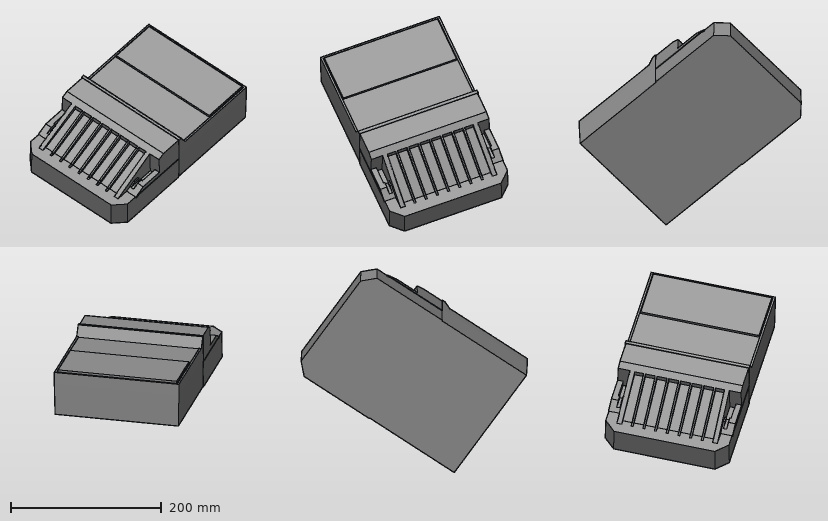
import cadquery as cq
import math

width = 170.0
length = 258.0
height = 74.0
back_y = length / 2
front_y = -length / 2
shell_draft = 1.1
ramp_draft = 1.5

joint_y = -8.3
parting_z = 43.9
rear_top_z = 60.6
hump_crest_y = -3.9
hump_foot_y = 3.9

rim_width = 2.8
recess_depth = 0.8
panel_gap = 1.0
panel_front_y = 57.5
panel_top_z = 63.2

shoulder_z = 73.3
shoulder_y = -39.2
ledge_z = 36.0
ramp_foot_y = -114.0
corner_chamfer = 15.7

pocket_back_y = -48.2
pocket_floor_z = parting_z
slope_top_y = -81.5
slope_foot_y = -96.5
lip_tip_y = -95.5
lip_tip_z = 33.3
ramp_half_width = 69.0

well_outer_x = 77.1
well_front_y = -73.5
well_floor_z = 35.3
groove_x = 73.0
groove_width = 4.5
groove_floor_z = 39.5
groove_front_y = slope_foot_y

trough_back_y = -48.5
trough_back_floor_z = 62.5
trough_foot_y = -107.8
trough_half_width = 62.2
rib_count = 7
rib_pitch = 16.0
rib_width = 2.5


def box(x0, x1, y0, y1, z0, z1):
    """Axis-aligned block between two opposite corners."""
    return cq.Workplane("XY").box(x1 - x0, y1 - y0, z1 - z0, centered=False).translate((x0, y0, z0))


def side_profile(points):
    """Prism across the full width from a (Y, Z) outline."""
    return cq.Workplane("YZ").polyline(points).close().extrude(width / 2, both=True)


def drafted_core(ledge_half_width):
    """Lengthwise prism whose leaning sides are ledge_half_width from the centre at ledge level."""
    lean = math.tan(math.radians(ramp_draft))
    bottom_half_width = ledge_half_width + (ledge_z - lip_tip_z) * lean
    top_half_width = ledge_half_width - (height - ledge_z) * lean
    outline = [
        (-bottom_half_width, lip_tip_z),
        (bottom_half_width, lip_tip_z),
        (top_half_width, height),
        (-top_half_width, height),
    ]
    return cq.Workplane("XZ").polyline(outline).close().extrude(length / 2, both=True)


def rear_housing():
    upper = side_profile([
        (joint_y, parting_z),
        (joint_y, height),
        (hump_crest_y, height),
        (hump_foot_y, rear_top_z),
        (back_y, rear_top_z),
        (back_y, parting_z),
    ])
    lower = (
        cq.Workplane("XY", origin=(0, 0, parting_z))
        .rect(width, length)
        .extrude(-parting_z, taper=shell_draft)
        .intersect(box(-width, width, joint_y, back_y, 0, parting_z))
    )
    recess_half_width = width / 2 - rim_width
    recess_floor_z = rear_top_z - recess_depth
    slope_run = (hump_foot_y - hump_crest_y) * recess_depth / (height - rear_top_z)
    recess = side_profile([
        (hump_foot_y, rear_top_z),
        (hump_foot_y + slope_run, recess_floor_z),
        (back_y - rim_width, recess_floor_z),
        (back_y - rim_width, rear_top_z),
    ]).intersect(box(-recess_half_width, recess_half_width, front_y, back_y, 0, height))
    panel_half_width = recess_half_width - panel_gap
    panel = box(-panel_half_width, panel_half_width, panel_front_y, back_y - rim_width - panel_gap,
                recess_floor_z, panel_top_z)
    return upper.union(lower).cut(recess).union(panel)


def front_base():
    block = (
        cq.Workplane("XY")
        .polyline([
            (-width / 2, 0),
            (-width / 2, front_y + corner_chamfer),
            (-width / 2 + corner_chamfer, front_y),
            (width / 2 - corner_chamfer, front_y),
            (width / 2, front_y + corner_chamfer),
            (width / 2, 0),
        ])
        .close()
        .extrude(ledge_z, taper=shell_draft)
    )
    return block.intersect(box(-width, width, front_y, joint_y, 0, ledge_z))


def front_ramp():
    slope_run_per_rise = (slope_top_y - slope_foot_y) / (pocket_floor_z - ledge_z)
    lip_start_y = lip_tip_y + (ledge_z - lip_tip_z) * slope_run_per_rise
    profile = side_profile([
        (joint_y, ledge_z),
        (joint_y, shoulder_z),
        (shoulder_y, shoulder_z),
        (ramp_foot_y, ledge_z),
        (slope_foot_y, ledge_z),
        (lip_tip_y, lip_tip_z),
        (lip_start_y, ledge_z),
    ])
    return profile.intersect(drafted_core(width / 2))


def side_pockets():
    space = side_profile([
        (pocket_back_y, height),
        (pocket_back_y, pocket_floor_z),
        (slope_top_y, pocket_floor_z),
        (slope_foot_y, ledge_z),
        (front_y, ledge_z),
        (front_y, height),
    ])
    return space.cut(drafted_core(ramp_half_width))


def well_and_groove():
    well = box(trough_half_width, well_outer_x, well_front_y, pocket_back_y, well_floor_z, pocket_floor_z)
    groove = box(groove_x - groove_width / 2, groove_x + groove_width / 2,
                 groove_front_y, well_front_y, groove_floor_z, pocket_floor_z)
    return well.union(groove).cut(drafted_core(ramp_half_width))


def ribbed_trough():
    trough = side_profile([
        (trough_back_y, height),
        (trough_back_y, trough_back_floor_z),
        (trough_foot_y, ledge_z),
        (front_y, ledge_z),
        (front_y, height),
    ]).intersect(drafted_core(trough_half_width))
    for index in range(rib_count):
        rib_x = (index - (rib_count - 1) / 2) * rib_pitch
        rib = box(rib_x - rib_width / 2, rib_x + rib_width / 2, front_y, trough_back_y, ledge_z, height)
        trough = trough.cut(rib)
    return trough


right_well = well_and_groove()
left_well = right_well.mirror("YZ")
front = front_base().union(front_ramp()).cut(side_pockets()).cut(ribbed_trough()).cut(right_well).cut(left_well)
result = rear_housing().union(front)